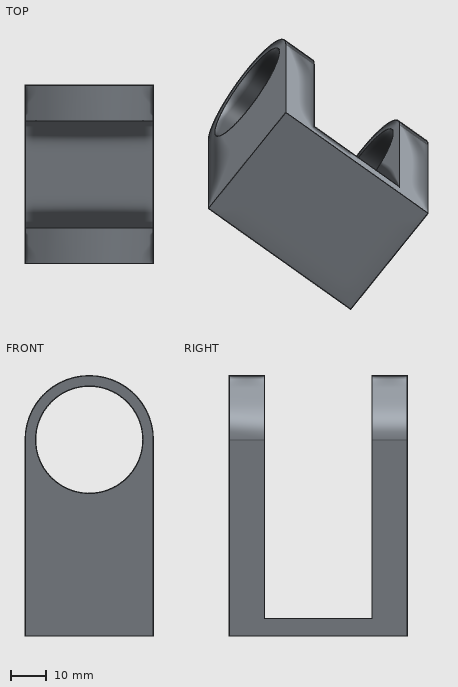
import cadquery as cq

width = 36.0
depth = 50.0
height = 73.0

arm_thickness = 10.0
base_thickness = 5.0
hole_diameter = 30.0

top_radius = width / 2
hole_height = height - top_radius
gap = depth - 2 * arm_thickness


def arm_profile_block():
    """Round-topped block extruded along Y, centred on the origin in X and Y."""
    return (
        cq.Workplane("XZ")
        .moveTo(-top_radius, 0)
        .lineTo(top_radius, 0)
        .lineTo(top_radius, hole_height)
        .threePointArc((0, height), (-top_radius, hole_height))
        .close()
        .extrude(depth / 2, both=True)
    )


def slot_between_arms():
    """Open slot that leaves the two arms standing on the base."""
    return (
        cq.Workplane("XY")
        .workplane(offset=base_thickness)
        .rect(width, gap)
        .extrude(height - base_thickness)
    )


def cross_hole():
    """Hole through both arms along Y."""
    return (
        cq.Workplane("XZ")
        .center(0, hole_height)
        .circle(hole_diameter / 2)
        .extrude(depth / 2, both=True)
    )


result = arm_profile_block().cut(slot_between_arms()).cut(cross_hole())